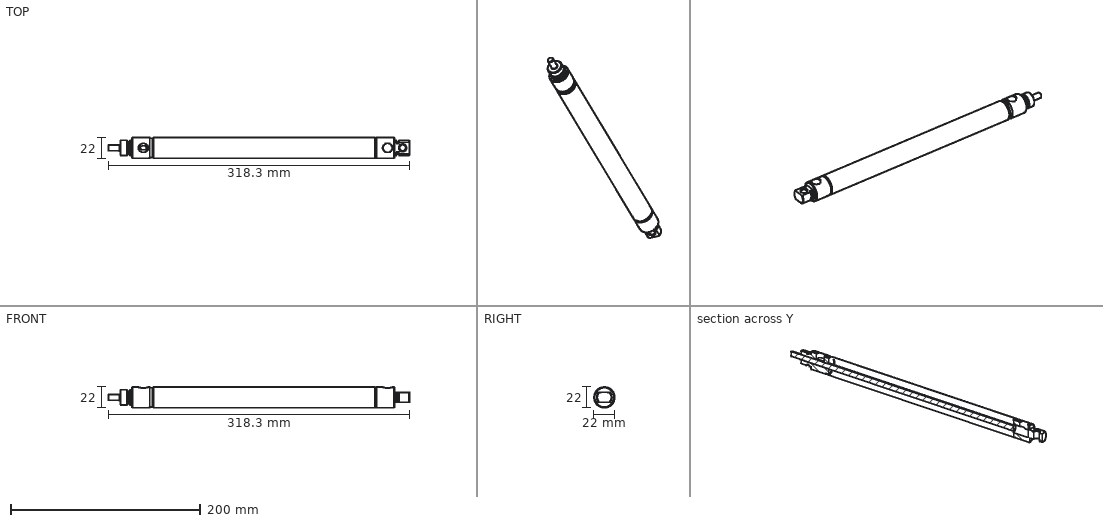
import cadquery as cq
import math

total_length = 318.3
outer_radius = 10.98
edge_chamfer = 0.8

rod_radius = 3.5
rod_stud_radius = 3.2
rod_stud_length = 11.8
stud_chamfer = 0.5

nose_radius = 8.12
nose_groove_radius = 6.7
nose_groove_width = 3.5
nose_groove_flank = 1.0

nose_front = 12.7
head_groove_start = 19.7
head_shoulder = 25.0
head_body_end = 44.0
head_waist_radius = 10.2
head_neck_start = 46.5
head_neck_radius = 10.35
flare_start = 47.5
head_end = 48.0

barrel_bore_radius = 10.0
barrel_end = 281.7

cap_neck_radius = 10.65
cap_neck_length = 0.8
cap_rim_radius = 10.8
cap_rim_length = 1.0
cap_shoulder = 302.5
cap_groove_start = 304.0
tongue_thickness = 10.5
eye_center = 311.0
eye_radius = 3.2
eye_chamfer = 1.0

port_radius = 4.8
port_countersink = 0.5
front_port_center = 37.2
rear_port_center = 295.0
drill_tip_angle = 118.0
front_port_tip_height = 1.43


def revolve_about_x(profile_points):
    """Solid of revolution about the X axis from (x, radius) points."""
    return cq.Workplane("XY").polyline(profile_points).close().revolve(360, (0, 0, 0), (1, 0, 0))


def x_cylinder(start, end, radius):
    return cq.Workplane("YZ", origin=(start, 0, 0)).circle(radius).extrude(end - start)


def nose_groove_points(start):
    """Undercut with sloping flanks in a nose, from left to right."""
    end = start + nose_groove_width
    return [
        (start, nose_radius),
        (start + nose_groove_flank, nose_groove_radius),
        (end - nose_groove_flank, nose_groove_radius),
        (end, nose_radius),
    ]


def port_cutter(center_x, tip_height, floor_height):
    """Countersunk port from above; its floor slopes to a tip on its axis, or is flat if the heights match."""
    mouth_height = outer_radius - port_countersink
    return (
        cq.Workplane("XZ", origin=(center_x, 0, 0))
        .moveTo(0, tip_height)
        .lineTo(port_radius, floor_height)
        .lineTo(port_radius, mouth_height)
        .lineTo(port_radius + port_countersink, outer_radius)
        .lineTo(0, outer_radius)
        .close()
        .revolve(360, (0, 0, 0), (0, 1, 0))
    )


def make_rod():
    return revolve_about_x(
        [
            (0, 0),
            (0, rod_stud_radius - stud_chamfer),
            (stud_chamfer, rod_stud_radius),
            (rod_stud_length, rod_stud_radius),
            (rod_stud_length, rod_radius),
            (barrel_end, rod_radius),
            (barrel_end, 0),
        ]
    )


def make_front_head():
    head = revolve_about_x(
        [
            (nose_front, 0),
            (nose_front, nose_radius - edge_chamfer),
            (nose_front + edge_chamfer, nose_radius),
            *nose_groove_points(head_groove_start),
            (head_shoulder, nose_radius),
            (head_shoulder, outer_radius - edge_chamfer),
            (head_shoulder + edge_chamfer, outer_radius),
            (head_body_end, outer_radius),
            (head_body_end, head_waist_radius),
            (head_neck_start, head_waist_radius),
            (head_neck_start, head_neck_radius),
            (flare_start, head_neck_radius),
            (head_end, outer_radius),
            (head_end, 0),
        ]
    )
    rod_bore = x_cylinder(nose_front, head_end, rod_radius)

    tip_cone_height = port_radius / math.tan(math.radians(drill_tip_angle / 2))
    port = port_cutter(
        front_port_center,
        tip_height=front_port_tip_height,
        floor_height=front_port_tip_height + tip_cone_height,
    )
    return head.cut(rod_bore).cut(port)


def make_barrel():
    tube = x_cylinder(head_end, barrel_end, outer_radius)
    return tube.cut(x_cylinder(head_end, barrel_end, barrel_bore_radius))


def make_rear_cap():
    rim_start = barrel_end + cap_neck_length
    cap = revolve_about_x(
        [
            (barrel_end, 0),
            (barrel_end, cap_neck_radius),
            (rim_start, cap_neck_radius),
            (rim_start, cap_rim_radius),
            (rim_start + cap_rim_length, cap_rim_radius),
            (rim_start + cap_rim_length, outer_radius),
            (cap_shoulder - edge_chamfer, outer_radius),
            (cap_shoulder, outer_radius - edge_chamfer),
            (cap_shoulder, nose_radius),
            *nose_groove_points(cap_groove_start),
            (total_length - edge_chamfer, nose_radius),
            (total_length, nose_radius - edge_chamfer),
            (total_length, 0),
        ]
    )

    half_tongue = tongue_thickness / 2
    tongue_length = total_length - cap_shoulder
    flat_depth = outer_radius - half_tongue
    for side in (-1, 1):
        flat_middle = (cap_shoulder + tongue_length / 2, 0, side * (half_tongue + flat_depth / 2))
        flat_cutter = cq.Workplane("XY", origin=flat_middle).box(tongue_length, 2 * outer_radius, flat_depth)
        cap = cap.cut(flat_cutter)

    eye_rim_radius = eye_radius + eye_chamfer
    eye_cutter = (
        cq.Workplane("XZ", origin=(eye_center, 0, 0))
        .moveTo(0, -half_tongue)
        .lineTo(eye_rim_radius, -half_tongue)
        .lineTo(eye_radius, -half_tongue + eye_chamfer)
        .lineTo(eye_radius, half_tongue - eye_chamfer)
        .lineTo(eye_rim_radius, half_tongue)
        .lineTo(0, half_tongue)
        .close()
        .revolve(360, (0, 0, 0), (0, 1, 0))
    )
    cap = cap.cut(eye_cutter)

    passage = x_cylinder(barrel_end, rear_port_center + port_radius, port_radius)
    port = port_cutter(rear_port_center, tip_height=0, floor_height=0)
    return cap.cut(passage).cut(port)


rod = make_rod()
front_head = make_front_head()
barrel = make_barrel()
rear_cap = make_rear_cap()

result = cq.Compound.makeCompound([rod.val(), front_head.val(), barrel.val(), rear_cap.val()])